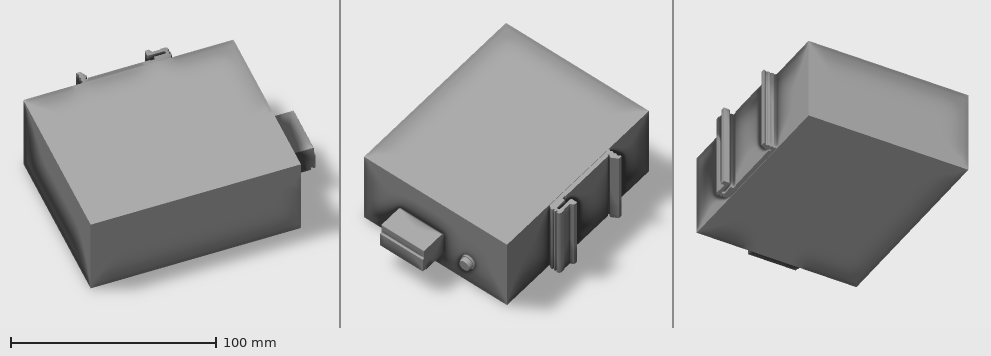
import cadquery as cq
import math

overall_width = 98.7
overall_depth = 127.25
clip_reach = 9.2
connector_reach = 17.25
housing_width = overall_width - clip_reach
housing_depth = overall_depth - connector_reach
housing_height = 45.3

clip_height = 44.7
clip_rear_gap = 31.5
clip_length = 47.8
web_thickness = 2.5

spring_outer = 7.6
spring_waist = 7.2
spring_corner_radius = 1.6
spring_waist_start = 3.8
hook_slope_start = 8.2
hook_tip_start = 9.2
hook_end = 11.3
hook_inner_chamfer = 0.5

spring_slot_outer = 5.5
spring_slot_inner = 3.8
spring_slot_end = 2.1
shoulder_position = 8.7
shoulder_recess_reach = 2.1
shoulder_recess_end = 11.0
rear_chamfer_reach = 2.0
rear_chamfer_length = 1.5

fixed_hook_reach = 7.6
fixed_hook_tip_start = 45.7
fixed_hook_peak = (3.8, 43.6)
relief_start = 43.8
relief_floor = (2.3, 45.0)
relief_corner = (1.6, 44.3)
fixed_hook_base = 47.4
fixed_hook_lip_inner = 7.15

groove_width = 0.9
rear_groove_depth = 0.9
rear_groove_reaches = (5.15, 3.45)
front_groove_depth = 0.4
front_groove_floor = fixed_hook_base - front_groove_depth
lip_groove_reach = 5.55
front_groove_reaches = (3.4, 1.25)
fixed_hook_lip_end = lip_groove_reach + groove_width / 2
lip_groove_inner = lip_groove_reach - groove_width / 2

connector_left = 38.7
connector_width = 26.7
connector_bottom = 11.7
connector_top = 26.9
upper_reach = 16.3
upper_corner_radius = 0.5
ledge_bottom = 21.1
ledge_top = 21.8
lip_bottom = 12.4
lip_inner = 15.8
latch_slot_inner = 14.9
latch_slot_top = 13.4
latch_undercut_inner = 14.4
latch_undercut_bottom = 12.9
shoulder_arc_reach = 3.4
shoulder_bevel_reach = 1.7
shoulder_bevel_angle = math.radians(50)

stud_x = 23.65
stud_z = 15.65
stud_flange_diameter = 8.0
stud_flange_end = 1.3
stud_barrel_diameter = 6.8
stud_barrel_end = 3.0
stud_tip_diameter = 6.0
stud_end = 3.95


def make_housing():
    return cq.Workplane("XY").box(
        housing_width, housing_depth, housing_height, centered=False
    ).translate((0, -housing_depth, 0))


def clip_point(reach, position):
    """XY point at a reach from the left face and a distance forward of the clip's rear end."""
    return (-reach, -clip_rear_gap - position)


def clip_block(reach, width, start, end):
    """Full-height block centred on a reach, used to cut a groove across the clip."""
    corner = clip_point(reach + width / 2, end)
    return (
        cq.Workplane("XY")
        .box(width, end - start, clip_height, centered=False)
        .translate((corner[0], corner[1], 0))
    )


def make_clip():
    slot_radius = (spring_slot_outer - spring_slot_inner) / 2
    slot_middle = (spring_slot_outer + spring_slot_inner) / 2
    slot_arc_start = spring_slot_end + slot_radius
    corner_inset = spring_corner_radius * (1 - math.sqrt(0.5))
    profile = (
        cq.Workplane("XY")
        .moveTo(*clip_point(0, rear_chamfer_length))
        .lineTo(*clip_point(rear_chamfer_reach, 0))
        .lineTo(*clip_point(spring_outer - spring_corner_radius, 0))
        .threePointArc(
            clip_point(spring_outer - corner_inset, corner_inset),
            clip_point(spring_outer, spring_corner_radius),
        )
        .lineTo(*clip_point(spring_outer, spring_waist_start))
        .lineTo(*clip_point(spring_waist, spring_waist_start))
        .lineTo(*clip_point(spring_waist, hook_slope_start))
        .lineTo(*clip_point(clip_reach, hook_tip_start))
        .lineTo(*clip_point(clip_reach, hook_end))
        .lineTo(*clip_point(spring_slot_outer + hook_inner_chamfer, hook_end))
        .lineTo(*clip_point(spring_slot_outer, hook_end - hook_inner_chamfer))
        .lineTo(*clip_point(spring_slot_outer, slot_arc_start))
        .threePointArc(
            clip_point(slot_middle, spring_slot_end),
            clip_point(spring_slot_inner, slot_arc_start),
        )
        .lineTo(*clip_point(spring_slot_inner, shoulder_position))
        .lineTo(*clip_point(shoulder_recess_reach, shoulder_position))
        .lineTo(*clip_point(shoulder_recess_reach, shoulder_recess_end))
        .lineTo(*clip_point(web_thickness, shoulder_recess_end))
        .lineTo(*clip_point(web_thickness, relief_start))
        .lineTo(*clip_point(*relief_corner))
        .lineTo(*clip_point(*relief_floor))
        .lineTo(*clip_point(*fixed_hook_peak))
        .lineTo(*clip_point(fixed_hook_reach, fixed_hook_tip_start))
        .lineTo(*clip_point(fixed_hook_reach, clip_length))
        .lineTo(*clip_point(fixed_hook_lip_inner, clip_length))
        .lineTo(*clip_point(fixed_hook_lip_end, front_groove_floor))
        .lineTo(*clip_point(lip_groove_inner, front_groove_floor))
        .lineTo(*clip_point(lip_groove_inner, fixed_hook_base))
        .lineTo(*clip_point(0, fixed_hook_base))
        .close()
    )
    clip = profile.extrude(clip_height)
    for reach in rear_groove_reaches:
        clip = clip.cut(clip_block(reach, groove_width, 0, rear_groove_depth))
    for reach in front_groove_reaches:
        clip = clip.cut(clip_block(reach, groove_width, front_groove_floor, fixed_hook_base))
    return clip.translate((0, 0, (housing_height - clip_height) / 2))


def make_connector():
    arc_radius = (shoulder_arc_reach - shoulder_bevel_reach) / math.sin(shoulder_bevel_angle)
    arc_center_z = connector_top - arc_radius
    bevel_top = arc_center_z + arc_radius * math.cos(shoulder_bevel_angle)
    bevel_bottom = bevel_top - shoulder_bevel_reach * math.tan(shoulder_bevel_angle)
    half_angle = shoulder_bevel_angle / 2
    arc_middle = (
        shoulder_arc_reach - arc_radius * math.sin(half_angle),
        arc_center_z + arc_radius * math.cos(half_angle),
    )
    corner_inset = upper_corner_radius * (1 - math.sqrt(0.5))
    profile = (
        cq.Workplane("YZ")
        .moveTo(0, connector_bottom)
        .lineTo(latch_slot_inner, connector_bottom)
        .lineTo(latch_slot_inner, latch_undercut_bottom)
        .lineTo(latch_undercut_inner, latch_undercut_bottom)
        .lineTo(latch_undercut_inner, latch_slot_top)
        .lineTo(lip_inner, latch_slot_top)
        .lineTo(lip_inner, lip_bottom)
        .lineTo(connector_reach, lip_bottom)
        .lineTo(connector_reach, ledge_bottom)
        .lineTo(upper_reach, ledge_top)
        .lineTo(upper_reach, connector_top - upper_corner_radius)
        .threePointArc(
            (upper_reach - corner_inset, connector_top - corner_inset),
            (upper_reach - upper_corner_radius, connector_top),
        )
        .lineTo(shoulder_arc_reach, connector_top)
        .threePointArc(arc_middle, (shoulder_bevel_reach, bevel_top))
        .lineTo(0, bevel_bottom)
        .close()
    )
    return profile.extrude(connector_width).translate((connector_left, 0, 0))


def make_stud():
    half_profile = (
        cq.Workplane("YZ")
        .lineTo(0, stud_flange_diameter / 2)
        .lineTo(stud_flange_end, stud_flange_diameter / 2)
        .lineTo(stud_flange_end, stud_barrel_diameter / 2)
        .lineTo(stud_barrel_end, stud_barrel_diameter / 2)
        .lineTo(stud_end, stud_tip_diameter / 2)
        .lineTo(stud_end, 0)
        .close()
    )
    stud = half_profile.revolve(axisStart=(0, 0, 0), axisEnd=(1, 0, 0))
    return stud.translate((stud_x, 0, stud_z))


result = make_housing().union(make_clip()).union(make_connector()).union(make_stud())